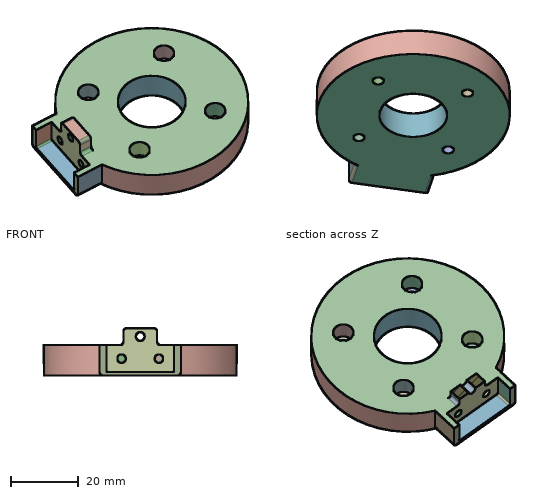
import cadquery as cq

disc_diameter = 57.0
disc_height = 9.0
bore_diameter = 20.0

bolt_spacing = 26.95
bolt_diameter = 3.3
counterbore_diameter = 6.0
counterbore_depth = 6.0

total_length = 63.0
block_width = 24.0
block_front = disc_diameter / 2 - total_length
block_corner_radius = 1.0

wall = 2.0
floor_thickness = 1.0
pocket_width = block_width - 2 * wall
pocket_depth = 5.55
pocket_corner_radius = 0.5
pocket_back = block_front + pocket_depth

total_height = 14.0
tab_width = 10.0
tab_thickness = 4.0
tab_radius = 1.0

sensor_hole_diameter = 2.5
tab_hole_height = 11.5
sensor_hole_spacing = 11.0
sensor_hole_height = 5.0
sensor_hole_depth = 10.0


def make_block():
    """Block running from the disc centre line to the front face."""
    return (
        cq.Workplane("XY")
        .box(block_width, -block_front, disc_height, centered=(True, False, False))
        .translate((0, block_front, 0))
        .edges("|Y and <Z")
        .fillet(block_corner_radius)
    )


def make_pocket():
    """Cutter for the pocket, with rounded lower corners."""
    return (
        cq.Workplane("XY")
        .box(pocket_width, pocket_depth, disc_height, centered=(True, False, False))
        .translate((0, block_front, floor_thickness))
        .edges("|Y and <Z")
        .fillet(pocket_corner_radius)
    )


def make_tab():
    """Tab with rounded top corners and concave flares at its foot."""
    half = tab_width / 2
    foot = half + tab_radius
    flare_top = disc_height + tab_radius
    tab = (
        cq.Workplane("XZ", origin=(0, pocket_back + tab_thickness, 0))
        .moveTo(-foot, disc_height)
        .lineTo(foot, disc_height)
        .radiusArc((half, flare_top), tab_radius)
        .lineTo(half, total_height)
        .lineTo(-half, total_height)
        .lineTo(-half, flare_top)
        .radiusArc((-foot, disc_height), tab_radius)
        .close()
        .extrude(tab_thickness)
    )
    return tab.edges("|Y and >Z").fillet(tab_radius)


def make_hole_along_y(x, z, depth):
    """Cutter for a round hole entering at the pocket's back wall."""
    return (
        cq.Workplane("XZ", origin=(x, pocket_back + depth, z))
        .circle(sensor_hole_diameter / 2)
        .extrude(depth)
    )


disc = cq.Workplane("XY").circle(disc_diameter / 2).extrude(disc_height)
result = disc.union(make_block()).cut(make_pocket()).union(make_tab())

result = result.cut(cq.Workplane("XY").circle(bore_diameter / 2).extrude(disc_height))
result = (
    result.copyWorkplane(cq.Workplane("XY", origin=(0, 0, disc_height)))
    .rarray(bolt_spacing, bolt_spacing, 2, 2)
    .cboreHole(bolt_diameter, counterbore_diameter, counterbore_depth)
)

result = result.cut(make_hole_along_y(0, tab_hole_height, tab_thickness))
for side in (-1, 1):
    hole_x = side * sensor_hole_spacing / 2
    result = result.cut(make_hole_along_y(hole_x, sensor_hole_height, sensor_hole_depth))